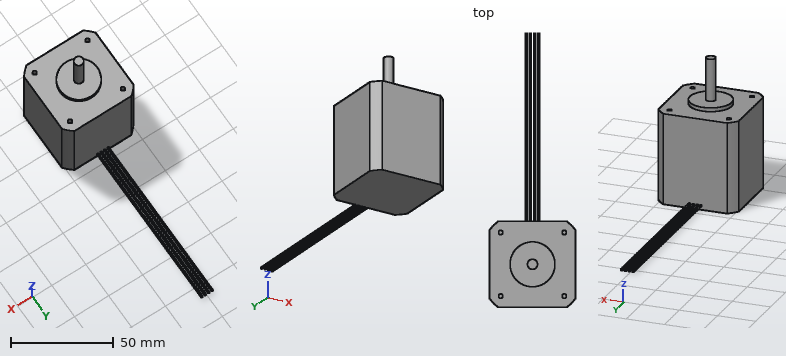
import cadquery as cq
import math


body_width = 42.1
body_height = 47.8
flat_width = 33.5
corner_diameter = math.hypot(body_width, flat_width)

boss_diameter = 22.0
boss_height = 2.0
shaft_diameter = 5.0
total_height = 71.8

hole_diameter = 2.1
hole_spacing = 31.0
hole_depth = 4.5

overall_depth = 133.8
wire_count = 4
wire_diameter = 0.96
wire_pitch = 2.0
wire_axis_height = 2.3


def make_body():
    block = cq.Workplane("XY").rect(body_width, body_width).extrude(body_height)
    corner_cylinder = cq.Workplane("XY").circle(corner_diameter / 2).extrude(body_height)
    return block.intersect(corner_cylinder)


def add_boss_and_shaft(body):
    boss_top = body_height + boss_height
    boss = cq.Workplane("XY").circle(boss_diameter / 2).extrude(boss_top)
    shaft = cq.Workplane("XY").circle(shaft_diameter / 2).extrude(total_height)
    return body.union(boss).union(shaft)


def cut_mounting_holes(body):
    holes = (
        cq.Workplane("XY", origin=(0, 0, body_height))
        .rarray(hole_spacing, hole_spacing, 2, 2)
        .circle(hole_diameter / 2)
        .extrude(-hole_depth)
    )
    return body.cut(holes)


def add_wires(body):
    wire_tip = overall_depth - body_width / 2
    wires = (
        cq.Workplane("XZ", origin=(0, 0, wire_axis_height))
        .rarray(wire_pitch, 1.3, wire_count, 1)
        .circle(wire_diameter / 2)
        .extrude(-wire_tip)
    )
    return body.union(wires)


motor = make_body()
motor = add_boss_and_shaft(motor)
motor = cut_mounting_holes(motor)
result = add_wires(motor)